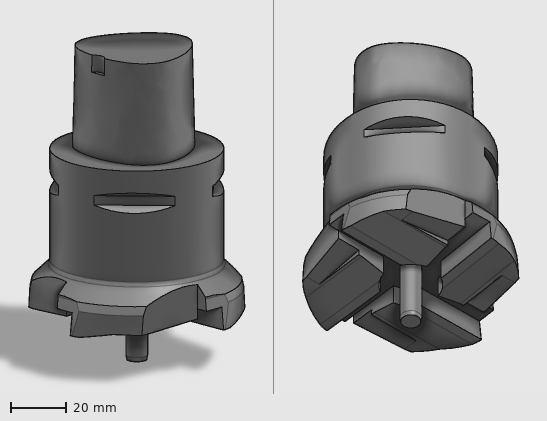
import cadquery as cq
import math

total_height = 117.0
shoulder_z = 79.2
shank_foot_z = 37.7
head_cone_z = 35.9
head_rim_z = 30.2
head_band_z = 26.9
head_bottom_z = 17.3

shank_radius = 31.5
head_cone_radius = 32.0
head_cone_arc_bulge = 0.18
head_rim_radius = 38.0
head_band_radius = 38.7
head_bottom_radius = 39.2

lobe_mean_radius = 22.1
lobe_height = 1.8
lobe_flattening = 0.18
lobe_taper = 0.9
lobe_points = 36
key_diameter = 8.0
key_center_y = -21.4
key_depth = 6.3

groove_z = 67.2
groove_angles = (45, 135, 225, 315)
groove_depth = 3.6
groove_floor_height = 3.5
groove_mouth_height = 7.6

tooth_angles = (0, 91.5, 181, 269)
tooth_face_x = -1.9
flat_radius = 33.1
flat_angle = 9.5
notch_wall_x = 6.0
notch_top_z = 25.7
facet_upper_radius = 37.2
facet_lower_radius = 38.6
relief_start_x = 10.1
relief_end_x = 22.0
relief_z = 19.8
flat_relief_z = 22.0
flat_relief_inner = 23.4
cut_reach = 46.8

bore_diameter = 23.0
pin_diameter = 8.0
pin_chamfer_height = 1.8
pin_chamfer_width = 0.4


def turned_body():
    """Cylindrical shank flowing through a concave arc into the conical head."""
    arc_middle = (shank_radius + head_cone_arc_bulge, (shank_foot_z + head_cone_z) / 2)
    return (
        cq.Workplane("XZ")
        .moveTo(0, head_bottom_z)
        .lineTo(head_bottom_radius, head_bottom_z)
        .lineTo(head_band_radius, head_band_z)
        .lineTo(head_rim_radius, head_rim_z)
        .lineTo(head_cone_radius, head_cone_z)
        .threePointArc(arc_middle, (shank_radius, shank_foot_z))
        .lineTo(shank_radius, shoulder_z)
        .lineTo(0, shoulder_z)
        .close()
        .revolve(360, (0, 0), (0, 1))
    )


def lobe_outline(mean_radius):
    """Points of a three-lobed curve given by its support function, one lobe toward +Y."""
    points = []
    for i in range(lobe_points):
        t = 2 * math.pi * i / lobe_points
        support = mean_radius + lobe_height * math.cos(3 * t) - lobe_flattening * math.cos(6 * t)
        slope = -3 * lobe_height * math.sin(3 * t) + 6 * lobe_flattening * math.sin(6 * t)
        x = support * math.sin(t) + slope * math.cos(t)
        y = support * math.cos(t) - slope * math.sin(t)
        points.append((x, y))
    return points


def lobed_shank():
    shank = (
        cq.Workplane("XY", origin=(0, 0, shoulder_z))
        .spline(lobe_outline(lobe_mean_radius), periodic=True)
        .close()
        .workplane(offset=total_height - shoulder_z)
        .spline(lobe_outline(lobe_mean_radius - lobe_taper), periodic=True)
        .close()
        .loft(ruled=True)
    )
    key = (
        cq.Workplane("XY", origin=(0, key_center_y, total_height - key_depth))
        .circle(key_diameter / 2)
        .extrude(key_depth)
    )
    return shank.cut(key)


def gripper_groove():
    """Straight groove across the +X side, with flared walls."""
    floor_x = shank_radius - groove_depth
    half_floor = groove_floor_height / 2
    half_mouth = groove_mouth_height / 2
    return (
        cq.Workplane("XZ")
        .polyline([
            (floor_x, groove_z - half_floor),
            (shank_radius, groove_z - half_mouth),
            (shank_radius, groove_z + half_mouth),
            (floor_x, groove_z + half_floor),
        ])
        .close()
        .extrude(shank_radius, both=True)
    )


def box_between(low, high):
    size = [b - a for a, b in zip(low, high)]
    return cq.Workplane("XY").box(*size, centered=False).translate(low)


def chip_flat():
    """Clearance ahead of the tooth face, bounded by a slanted vertical flat."""
    rise = math.tan(math.radians(flat_angle)) * (cut_reach + tooth_face_x)
    return (
        cq.Workplane("XY")
        .polyline([
            (tooth_face_x, -flat_radius),
            (-cut_reach, -flat_radius + rise),
            (-cut_reach, -cut_reach),
            (tooth_face_x, -cut_reach),
        ])
        .close()
        .extrude(head_cone_z)
    )


def insert_notch():
    """Seat below the tooth face, open inward to the centre bore."""
    return box_between((tooth_face_x, -cut_reach, 0), (notch_wall_x, 0, notch_top_z))


def outer_facet():
    """Planar land on the outside of the tooth, leaning outward below the rim."""
    return (
        cq.Workplane("YZ", origin=(tooth_face_x, 0, 0))
        .polyline([
            (-facet_upper_radius, head_cone_z),
            (-facet_upper_radius, head_rim_z),
            (-facet_lower_radius, head_bottom_z),
            (-cut_reach, head_bottom_z),
            (-cut_reach, head_cone_z),
        ])
        .close()
        .extrude(flat_radius / 2)
    )


def underside_relief():
    """Ramp that lifts the underside behind the cutting edge."""
    return (
        cq.Workplane("XZ")
        .polyline([
            (relief_start_x, head_bottom_z),
            (relief_end_x, relief_z),
            (flat_radius, relief_z),
            (flat_radius, head_bottom_z),
        ])
        .close()
        .extrude(cut_reach)
    )


def flat_relief():
    """Sloping underside below the chip flat."""
    return (
        cq.Workplane("XZ", origin=(0, -flat_relief_inner, 0))
        .polyline([
            (-flat_relief_inner, head_bottom_z),
            (-flat_relief_inner, relief_z),
            (tooth_face_x, flat_relief_z),
            (tooth_face_x, head_bottom_z),
        ])
        .close()
        .extrude(cut_reach)
    )


def center_pin():
    pin_radius = pin_diameter / 2
    return (
        cq.Workplane("XZ")
        .polyline([
            (0, 0),
            (pin_radius - pin_chamfer_width, 0),
            (pin_radius, pin_chamfer_height),
            (pin_radius, notch_top_z),
            (0, notch_top_z),
        ])
        .close()
        .revolve(360, (0, 0), (0, 1))
    )


body = turned_body()
bore = cq.Workplane("XY").circle(bore_diameter / 2).extrude(notch_top_z)
body = body.cut(bore)

for angle in groove_angles:
    body = body.cut(gripper_groove().rotate((0, 0, 0), (0, 0, 1), angle))

for angle in tooth_angles:
    for cutter in (chip_flat(), insert_notch(), outer_facet(), underside_relief(), flat_relief()):
        body = body.cut(cutter.rotate((0, 0, 0), (0, 0, 1), angle))

result = body.union(lobed_shank()).union(center_pin())